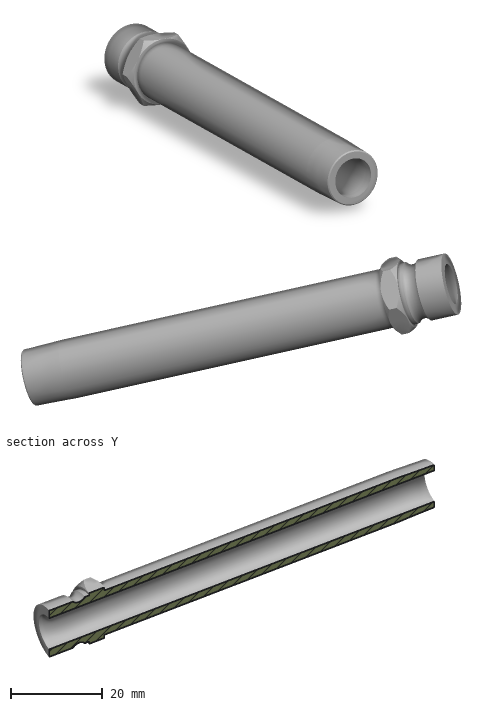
import cadquery as cq
import math

length = 97.0
bore_radius = 4.5

head_radius = 6.85
groove_start = 6.0
groove_end = 9.0
groove_depth = 0.8

hex_start = 10.0
hex_width = 4.0
hex_across_flats = 15.0
hex_corner_radius = hex_across_flats / 2 / math.cos(math.radians(30))
hex_end = hex_start + hex_width

tube_radius = 6.57
taper_length = 8.9
taper_ratio = 1 / 16
end_chamfer = 0.25
taper_start = length - taper_length


def taper_radius(x):
    """Radius of the tapered end at distance x along the axis."""
    return tube_radius - (x - taper_start) * taper_ratio / 2


def revolve_about_x(profile):
    """Close a half profile in the XY plane and turn it about the X axis."""
    return profile.close().revolve(360, (0, 0, 0), (1, 0, 0))


def make_body():
    """Spigot, groove, collar and tapered tube as one turned body."""
    chamfer_start = length - end_chamfer
    groove_middle = (groove_start + groove_end) / 2
    profile = (
        cq.Workplane("XY")
        .lineTo(0, head_radius)
        .lineTo(groove_start, head_radius)
        .threePointArc((groove_middle, head_radius - groove_depth), (groove_end, head_radius))
        .lineTo(hex_start, head_radius)
        .lineTo(hex_start, tube_radius)
        .lineTo(taper_start, tube_radius)
        .lineTo(chamfer_start, taper_radius(chamfer_start))
        .lineTo(length, taper_radius(chamfer_start) - end_chamfer)
        .lineTo(length, 0)
    )
    return revolve_about_x(profile)


def make_hexagon():
    """Hexagon whose corners are bevelled at 45 degrees on both faces."""
    hex_plane = cq.Workplane("YZ", origin=(hex_start, 0, 0))
    prism = hex_plane.polygon(6, 2 * hex_corner_radius).extrude(hex_width)
    face_radius = hex_across_flats / 2
    peak_radius = face_radius + hex_width / 2
    envelope = revolve_about_x(
        cq.Workplane("XY")
        .moveTo(hex_start, 0)
        .lineTo(hex_start, face_radius)
        .lineTo(hex_start + hex_width / 2, peak_radius)
        .lineTo(hex_end, face_radius)
        .lineTo(hex_end, 0)
    )
    return prism.intersect(envelope)


bore = cq.Workplane("YZ").circle(bore_radius).extrude(length)
result = make_body().union(make_hexagon()).cut(bore)